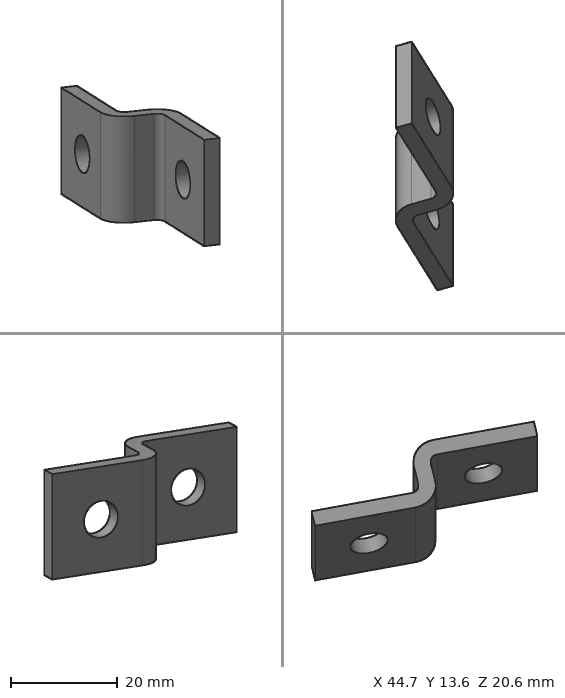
import cadquery as cq

length = 44.7
offset_depth = 13.6
width = 20.65
thickness = 3.2
inner_radius = 1.6
hole_diameter = 7.15

outer_radius = inner_radius + thickness
web_left = (length - thickness) / 2
web_right = web_left + thickness
hole_inset = width / 2


def z_profile():
    """Sharp-cornered Z section: front flange, web, rear flange."""
    return [
        (0, 0),
        (web_right, 0),
        (web_right, offset_depth - thickness),
        (length, offset_depth - thickness),
        (length, offset_depth),
        (web_left, offset_depth),
        (web_left, thickness),
        (0, thickness),
    ]


def round_bend(body, x, y, radius):
    """Round the upright edge that passes through (x, y)."""
    edge = cq.selectors.NearestToPointSelector((x, y, width / 2))
    return body.edges("|Z").edges(edge).fillet(radius)


result = cq.Workplane("XY").polyline(z_profile()).close().extrude(width)
result = round_bend(result, web_right, 0, outer_radius)
result = round_bend(result, web_left, thickness, inner_radius)
result = round_bend(result, web_left, offset_depth, outer_radius)
result = round_bend(result, web_right, offset_depth - thickness, inner_radius)

hole_centres = [(hole_inset, width / 2), (length - hole_inset, width / 2)]
holes = (
    cq.Workplane("XZ")
    .pushPoints(hole_centres)
    .circle(hole_diameter / 2)
    .extrude(-offset_depth)
)
result = result.cut(holes)